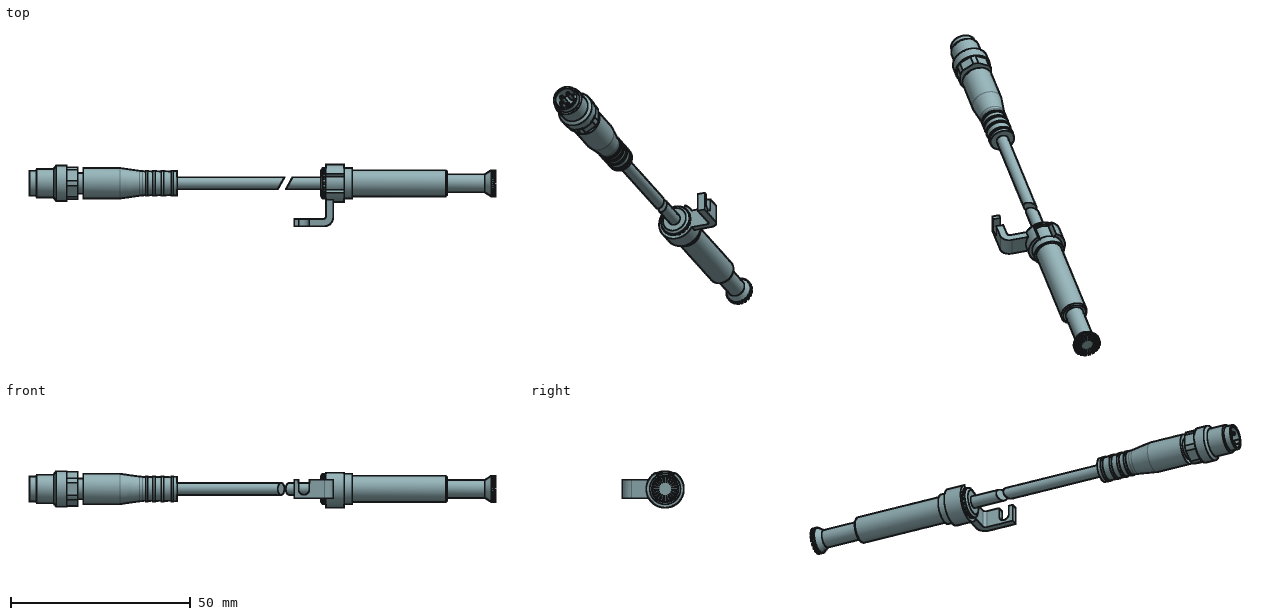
import cadquery as cq
import math

TOTAL_LENGTH = 129.7
CABLE_DIAMETER = 3.4
BODY_DIAMETER = 8.5

NOSE_END = 1.8
BARREL_START = 2.1
BARREL_END = 6.7
RING_START = 7.4
RING_END = 10.4
HEX_END = 13.5
GRIP_START = 14.9
GRIP_END = 25.2
TAPER_END = 30.6
BOOT_START = 31.4
BOOT_END = 41.1

NOSE_DIAMETER = 7.0
BARREL_DIAMETER = 8.0
RING_DIAMETER = 10.0
HEX_ACROSS_FLATS = 9.0
HEX_ROUND_DIAMETER = 9.6
NECK_DIAMETER = 5.8
BOOT_DIAMETER = 6.9
BOOT_VALLEY_DIAMETER = 6.6
BOOT_RIB_DIAMETER = 7.0
BOOT_RIB_WIDTH = 0.6
BOOT_RIB_STARTS = (32.3, 34.4, 36.7, 39.4)

SOCKET_DIAMETER = 5.8
SOCKET_DEPTH = 3.9
PIN_DIAMETER = 1.0
PIN_LENGTH = 3.5
PIN_TIP_DIAMETER = 0.5
PIN_TIP_LENGTH = 0.3
PIN_CIRCLE_DIAMETER = 3.4
PIN_ANGLES = (32, 105, 255, 328)
KEY_WIDTH = 1.3
KEY_INNER_RADIUS = 2.5

BREAK_RUN = 2.0
BREAK_RISE = 3.5
PLUG_CABLE_END = 70.0
GRIPPER_CABLE_START = 72.2

HUB_START = 81.0
HUB_STEP = 81.6
CLIP_START = 82.5
CLIP_WIDTH = 5.0
COLLAR_END = 89.9
TUBE_END = 116.2
FLARE_START = 126.7
FLARE_END = 128.5

HUB_FACE_DIAMETER = 6.9
TUBE_DIAMETER = 7.4
TUBE_CHAMFER = 0.4
ROD_DIAMETER = 5.0

KNURL_COUNT = 18
KNURL_WIDTH = 0.6
KNURL_DEPTH = 0.3
KNURL_START = 81.8
TIP_NOTCH_COUNT = 20
TIP_NOTCH_WIDTH = 0.58
TIP_NOTCH_DEPTH = 0.4
TIP_GROOVE_DEPTH = 0.2

CLIP_DIAMETER = 10.5
CLIP_BORE_DIAMETER = 7.3
CLIP_GAP_ANGLE = 60
ARM_THICKNESS = 2.1
ARM_HEIGHT = 5.2
ARM_OUTER_FACE = 12.0
FOOT_TIP = 73.7
ARM_INNER_RADIUS = 0.8
ARM_OUTER_RADIUS = 2.6
FOOT_SLOT_WIDTH = 3.0
FOOT_SLOT_CENTER = 76.4
FOOT_SLOT_DROP = 0.1


def turned(profile):
    """Solid of revolution about X from (x, diameter) pairs."""
    rim = [(x, diameter / 2) for x, diameter in profile]
    outline = [(profile[0][0], 0)] + rim + [(profile[-1][0], 0)]
    return cq.Workplane("XY").polyline(outline).close().revolve(360, (0, 0, 0), (1, 0, 0))


def rod(start, end, diameter):
    """Cylinder along X."""
    return turned([(start, diameter), (end, diameter)])


def around_x(tool, angles):
    """Copies of a tool turned about the X axis, as one workplane."""
    copies = cq.Workplane("XY")
    for angle in angles:
        copies = copies.add(tool.rotate((0, 0, 0), (1, 0, 0), angle))
    return copies.combine()


def evenly(count):
    return [360 / count * i for i in range(count)]


def slanted_cable(start, end):
    """Cable between two cuts; the far side (+Y) of each cut lies further along X.

    Each cut is (x on the axis, X travel from the axis to BREAK_RISE off it).
    """
    (x0, run0), (x1, run1) = start, end
    outline = [
        (x0 - run0, -BREAK_RISE),
        (x1 - run1, -BREAK_RISE),
        (x1 + run1, BREAK_RISE),
        (x0 + run0, BREAK_RISE),
    ]
    slab = cq.Workplane("XY").polyline(outline).close().extrude(CABLE_DIAMETER, both=True)
    return rod(x0 - BREAK_RISE, x1 + BREAK_RISE, CABLE_DIAMETER).intersect(slab)


def boot_profile():
    """Strain relief: ribs with a taper falling from each rib to the next."""
    profile = [(BOOT_START, BOOT_DIAMETER)]
    for start in BOOT_RIB_STARTS:
        profile += [
            (start, BOOT_VALLEY_DIAMETER),
            (start, BOOT_RIB_DIAMETER),
            (start + BOOT_RIB_WIDTH, BOOT_RIB_DIAMETER),
            (start + BOOT_RIB_WIDTH, BOOT_DIAMETER),
        ]
    return profile + [(BOOT_END, BOOT_DIAMETER)]


def plug_shell():
    return turned(
        [
            (0, NOSE_DIAMETER),
            (NOSE_END, NOSE_DIAMETER),
            (BARREL_START, BARREL_DIAMETER),
            (BARREL_END, BARREL_DIAMETER),
            (RING_START, RING_DIAMETER),
            (RING_END, RING_DIAMETER),
            (RING_END, NECK_DIAMETER),
            (GRIP_START, NECK_DIAMETER),
            (GRIP_START, BODY_DIAMETER),
            (GRIP_END, BODY_DIAMETER),
            (TAPER_END, BOOT_RIB_DIAMETER),
        ]
        + boot_profile()
    )


def plug_hex():
    """Hexagon with flats facing +-Y and corners rounded to a circle."""
    hexagon = (
        cq.Workplane("YZ", origin=(RING_END, 0, 0))
        .polygon(6, HEX_ACROSS_FLATS, circumscribed=True)
        .extrude(HEX_END - RING_END)
    )
    return hexagon.intersect(rod(RING_END, HEX_END, HEX_ROUND_DIAMETER))


def socket():
    """Round socket, less a key rib along its -Y wall."""
    key = cq.Workplane("XY").box(
        SOCKET_DEPTH, SOCKET_DIAMETER / 2, KEY_WIDTH, centered=(False, False, True)
    ).translate((0, -KEY_INNER_RADIUS - SOCKET_DIAMETER / 2, 0))
    return rod(0, SOCKET_DEPTH, SOCKET_DIAMETER).cut(key)


def contact_pins():
    """Pins with tapered tips, standing on the socket floor."""
    tip = SOCKET_DEPTH - PIN_LENGTH
    pin = turned(
        [(tip, PIN_TIP_DIAMETER), (tip + PIN_TIP_LENGTH, PIN_DIAMETER), (SOCKET_DEPTH, PIN_DIAMETER)]
    )
    return around_x(pin.translate((0, PIN_CIRCLE_DIAMETER / 2, 0)), PIN_ANGLES)


def make_plug():
    cable = slanted_cable((BOOT_END, 0), (PLUG_CABLE_END, BREAK_RUN))
    return plug_shell().union(plug_hex()).cut(socket()).union(contact_pins()).union(cable)


def gripper_shell():
    clip_end = CLIP_START + CLIP_WIDTH
    return turned(
        [
            (HUB_START, HUB_FACE_DIAMETER),
            (HUB_STEP, BODY_DIAMETER),
            (CLIP_START, BODY_DIAMETER),
            (CLIP_START, CLIP_BORE_DIAMETER),
            (clip_end, CLIP_BORE_DIAMETER),
            (clip_end, BODY_DIAMETER),
            (COLLAR_END, BODY_DIAMETER),
            (COLLAR_END, TUBE_DIAMETER),
            (TUBE_END - TUBE_CHAMFER, TUBE_DIAMETER),
            (TUBE_END, TUBE_DIAMETER - 2 * TUBE_CHAMFER),
            (TUBE_END, ROD_DIAMETER),
            (FLARE_START, ROD_DIAMETER),
            (FLARE_END, TUBE_DIAMETER),
            (TOTAL_LENGTH, TUBE_DIAMETER),
        ]
    )


def hub_knurl():
    groove = cq.Workplane("XY").box(
        CLIP_START - KNURL_START, KNURL_WIDTH, BODY_DIAMETER, centered=(False, True, False)
    ).translate((KNURL_START, 0, BODY_DIAMETER / 2 - KNURL_DEPTH))
    return around_x(groove, evenly(KNURL_COUNT))


def tip_notches():
    """Radial notches in the end face, each running on as a shallow groove along the rim."""
    notch = cq.Workplane("XY").box(
        TIP_NOTCH_DEPTH, TIP_NOTCH_WIDTH, TUBE_DIAMETER, centered=(False, True, False)
    ).translate((TOTAL_LENGTH - TIP_NOTCH_DEPTH, 0, 0))
    groove = cq.Workplane("XY").box(
        TOTAL_LENGTH - FLARE_END, TIP_NOTCH_WIDTH, TUBE_DIAMETER, centered=(False, True, False)
    ).translate((FLARE_END, 0, TUBE_DIAMETER / 2 - TIP_GROOVE_DEPTH))
    return around_x(notch.union(groove), evenly(TIP_NOTCH_COUNT))


def clip_ring():
    """Ring with a radial-sided gap centred on +Z."""
    ring = rod(CLIP_START, CLIP_START + CLIP_WIDTH, CLIP_DIAMETER).cut(
        rod(CLIP_START, CLIP_START + CLIP_WIDTH, CLIP_BORE_DIAMETER)
    )
    half_gap = CLIP_DIAMETER * math.tan(math.radians(CLIP_GAP_ANGLE / 2))
    gap = (
        cq.Workplane("YZ", origin=(CLIP_START, 0, 0))
        .polyline([(0, 0), (half_gap, CLIP_DIAMETER), (-half_gap, CLIP_DIAMETER)])
        .close()
        .extrude(CLIP_WIDTH)
    )
    return ring.cut(gap)


def clip_arm():
    """L-shaped strip from the ring, bent towards -X, with a slot open at the top."""
    arm_back = CLIP_START + ARM_THICKNESS
    foot_inner_face = ARM_THICKNESS - ARM_OUTER_FACE
    root = -(CLIP_BORE_DIAMETER + CLIP_DIAMETER) / 4
    outline = [
        (CLIP_START, root),
        (arm_back, root),
        (arm_back, -ARM_OUTER_FACE),
        (FOOT_TIP, -ARM_OUTER_FACE),
        (FOOT_TIP, foot_inner_face),
        (CLIP_START, foot_inner_face),
    ]
    strip = cq.Workplane("XY").polyline(outline).close().extrude(ARM_HEIGHT / 2, both=True)

    def upright_edge(x, y):
        return cq.selectors.NearestToPointSelector((x, y, 0))

    strip = strip.edges(upright_edge(arm_back, -ARM_OUTER_FACE)).fillet(ARM_OUTER_RADIUS)
    strip = strip.edges(upright_edge(CLIP_START, foot_inner_face)).fillet(ARM_INNER_RADIUS)

    slot = (
        cq.Workplane("XZ", origin=(FOOT_SLOT_CENTER, foot_inner_face, -FOOT_SLOT_DROP))
        .circle(FOOT_SLOT_WIDTH / 2)
        .extrude(ARM_THICKNESS)
        .union(
            cq.Workplane("XZ", origin=(FOOT_SLOT_CENTER, foot_inner_face, -FOOT_SLOT_DROP))
            .rect(FOOT_SLOT_WIDTH, ARM_HEIGHT)
            .extrude(ARM_THICKNESS)
            .translate((0, 0, ARM_HEIGHT / 2))
        )
    )
    return strip.cut(slot)


def make_gripper():
    cable = slanted_cable((GRIPPER_CABLE_START, BREAK_RUN), (HUB_STEP, 0))
    turned_parts = gripper_shell().cut(hub_knurl()).cut(tip_notches())
    return turned_parts.union(clip_ring()).union(clip_arm()).union(cable)


plug = make_plug()
gripper = make_gripper()

result = cq.Compound.makeCompound([plug.val(), gripper.val()])